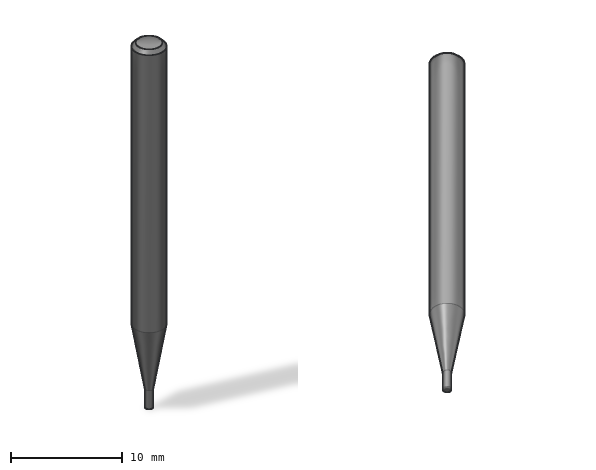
import cadquery as cq

total_length = 38.1
shank_diameter = 3.15
shank_chamfer = 0.4
shank_start_z = 8.8
tip_diameter = 0.8
tip_length = 2.05
tip_corner_radius = 0.15

shank_radius = shank_diameter / 2
tip_radius = tip_diameter / 2
centre_z = total_length / 2


def turned_body():
    """Revolve the half profile: straight tip, taper and shank with a chamfered end."""
    profile = (
        cq.Workplane("XZ")
        .moveTo(0, 0)
        .lineTo(tip_radius, 0)
        .lineTo(tip_radius, tip_length)
        .lineTo(shank_radius, shank_start_z)
        .lineTo(shank_radius, total_length - shank_chamfer)
        .lineTo(shank_radius - shank_chamfer, total_length)
        .lineTo(0, total_length)
        .close()
    )
    return profile.revolve(360, (0, 0, 0), (0, 1, 0))


rounded_tool = turned_body().faces("<Z").edges().fillet(tip_corner_radius)
result = rounded_tool.translate((0, 0, -centre_z))